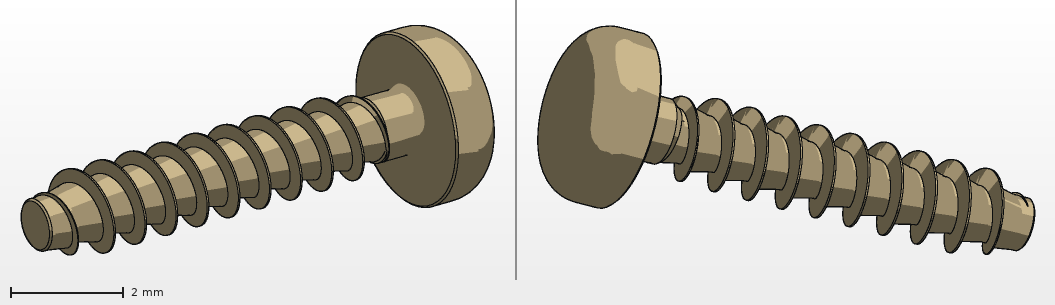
import cadquery as cq
import math

total_length = 9.1
head_radius = 1.6
head_height = 1.11
head_round = 0.64
head_edge_chamfer = 0.04
neck_radius = 0.6
neck_length = 0.79
neck_taper_length = 0.16
neck_fillet = 0.17
tip_cone_height = 0.03
tip_bevel = 0.04
core_radius = 0.48
tip_y = head_height - total_length
tip_rim_y = tip_y + tip_cone_height

thread_length = 7.36
turns = 11
pitch = thread_length / turns
thread_start_y = -0.46
run_in_turns = 1.5
run_out_turns = 1.1
crest_radius = 0.81
crest_start_radius = 0.55
shoulder_radius = 0.58
faded_radius = core_radius - 0.01
buried_radius = 0.44
flank_reach = 0.09
crest_half_width = 0.02
smallest_fin_scale = 0.2
tip_clearance = 0.05
ramp_gap = 0.01
ramp_length = pitch - flank_reach - ramp_gap
samples_per_turn = 16


def make_blank():
    """Revolve the head, neck, smooth core and shallow cone tip."""
    arc_mid = head_round * math.sqrt(0.5)
    round_center_x = head_radius - head_round
    round_center_y = head_height - head_round
    fillet_center_x = neck_radius + neck_fillet
    fillet_mid = neck_fillet * math.sqrt(0.5)
    return (
        cq.Workplane("XY")
        .moveTo(0, tip_y)
        .lineTo(core_radius - tip_bevel, tip_rim_y)
        .lineTo(core_radius, tip_rim_y + tip_bevel)
        .lineTo(core_radius, -neck_length - neck_taper_length)
        .lineTo(neck_radius, -neck_length)
        .lineTo(neck_radius, -neck_fillet)
        .threePointArc((fillet_center_x - fillet_mid, fillet_mid - neck_fillet), (fillet_center_x, 0))
        .lineTo(head_radius - head_edge_chamfer, 0)
        .lineTo(head_radius, head_edge_chamfer)
        .lineTo(head_radius, round_center_y)
        .threePointArc((round_center_x + arc_mid, round_center_y + arc_mid), (round_center_x, head_height))
        .lineTo(0, head_height)
        .close()
        .revolve(360, (0, 0), (0, 1))
    )


def thread_section(turn):
    """Thread section as (radius, offset along Y) points after the given number of turns."""
    run_in = min(1, turn / run_in_turns)
    run_out = min(1, (turns - turn) / run_out_turns)
    full_crest = crest_start_radius + (crest_radius - crest_start_radius) * run_in
    crest = faded_radius + (full_crest - faded_radius) * run_out
    shoulder = faded_radius + (shoulder_radius - faded_radius) * run_out
    fin_scale = max(smallest_fin_scale, (crest - faded_radius) / (crest_radius - faded_radius))
    reach = flank_reach * fin_scale
    half_width = crest_half_width * fin_scale
    space_to_tip = thread_start_y - pitch * turn - (tip_rim_y + tip_clearance)
    ramp_end = -min(ramp_length, space_to_tip)
    return [
        (buried_radius, reach),
        (faded_radius, reach),
        (crest, half_width),
        (crest, -half_width),
        (shoulder, -reach),
        (faded_radius, ramp_end),
        (buried_radius, ramp_end),
    ]


def helix_point(turn, radius, offset):
    """Point on the right-hand helix, which starts on the -X side and runs toward the tip."""
    angle = math.pi + 2 * math.pi * turn
    y = thread_start_y - pitch * turn + offset
    return cq.Vector(radius * math.cos(angle), y, radius * math.sin(angle))


def make_thread_piece(first_turn, last_turn):
    """Close ruled helical faces between the section corners into a solid."""
    steps = round((last_turn - first_turn) * samples_per_turn)
    turn_values = [first_turn + (last_turn - first_turn) * i / steps for i in range(steps + 1)]
    stations = [[helix_point(turn, *corner) for corner in thread_section(turn)] for turn in turn_values]
    rails = [cq.Edge.makeSpline(list(points)) for points in zip(*stations)]
    faces = [cq.Face.makeRuledSurface(rails[i - 1], rails[i]) for i in range(len(rails))]
    for corners in (stations[0], stations[-1]):
        faces.append(cq.Face.makeFromWires(cq.Wire.makePolygon(corners, close=True)))
    return cq.Solid.makeSolid(cq.Shell.makeShell(faces)).fix()


def make_screw():
    """Join the thread to the blank piece by piece, half a turn at a time."""
    screw = make_blank()
    for half_turn in range(2 * turns):
        piece = make_thread_piece(half_turn / 2, (half_turn + 1) / 2)
        screw = screw.union(cq.Workplane(piece), clean=False)
    return screw


result = make_screw()